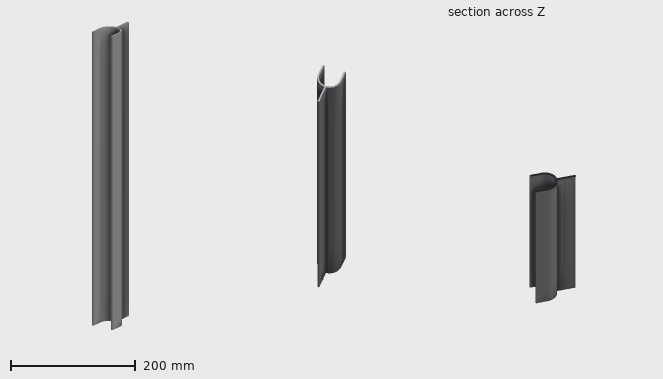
import cadquery as cq

length = 500.0
channel_width = 40.0
profile_depth = 71.0
wall = 3.0
leg_length = 20.0
bead_diameter = 4.0
bead_pitch = 15.0

outer_radius = channel_width / 2
inner_radius = outer_radius - wall
leg_end_y = -leg_length
tip_bead_y = profile_depth - leg_length - bead_diameter / 2
middle_bead_y = tip_bead_y - bead_pitch
fin_root_y = outer_radius - wall / 2


def make_channel():
    """U channel: a half-round arch with two straight legs, open towards -Y."""
    return (
        cq.Workplane("XY")
        .moveTo(-outer_radius, leg_end_y)
        .lineTo(-outer_radius, 0)
        .threePointArc((0, outer_radius), (outer_radius, 0))
        .lineTo(outer_radius, leg_end_y)
        .lineTo(inner_radius, leg_end_y)
        .lineTo(inner_radius, 0)
        .threePointArc((0, inner_radius), (-inner_radius, 0))
        .lineTo(-inner_radius, leg_end_y)
        .close()
        .extrude(length)
    )


def make_fin():
    """Flat fin from the crown of the arch to the centre of the tip bead."""
    return (
        cq.Workplane("XY")
        .center(0, (fin_root_y + tip_bead_y) / 2)
        .rect(wall, tip_bead_y - fin_root_y)
        .extrude(length)
    )


def make_bead(center_y):
    """Full-length round bead centred on the fin."""
    return (
        cq.Workplane("XY")
        .center(0, center_y)
        .circle(bead_diameter / 2)
        .extrude(length)
    )


result = make_channel().union(make_fin())
for bead_y in (tip_bead_y, middle_bead_y):
    result = result.union(make_bead(bead_y))